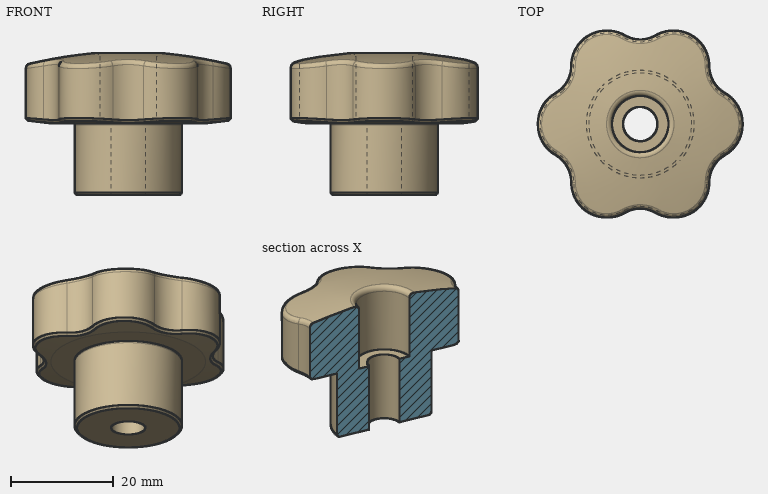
import cadquery as cq
import math

LOBE_COUNT = 6
LOBE_PITCH = 2 * math.pi / LOBE_COUNT
LOBE_CENTRE_RADIUS = 13.0
LOBE_RADIUS = 7.0
VALLEY_RADIUS = 6.0

HALF_PITCH = LOBE_PITCH / 2
CENTRE_SPACING = LOBE_RADIUS + VALLEY_RADIUS
LOBE_OFFSET = LOBE_CENTRE_RADIUS * math.sin(HALF_PITCH)
VALLEY_CENTRE_RADIUS = LOBE_CENTRE_RADIUS * math.cos(HALF_PITCH) + math.sqrt(
    CENTRE_SPACING**2 - LOBE_OFFSET**2
)

LOBE_SHARE = LOBE_RADIUS / CENTRE_SPACING
TANGENT_X = (
    LOBE_CENTRE_RADIUS * (1 - LOBE_SHARE) + VALLEY_CENTRE_RADIUS * math.cos(HALF_PITCH) * LOBE_SHARE
)
TANGENT_Y = VALLEY_CENTRE_RADIUS * math.sin(HALF_PITCH) * LOBE_SHARE
TANGENT_RADIUS = math.hypot(TANGENT_X, TANGENT_Y)
TANGENT_ANGLE = math.atan2(TANGENT_Y, TANGENT_X)

OVERALL_HEIGHT = 27.75
HEAD_BASE_Z = 14.0

CROWN_RADIUS = 80.0
UNDERSIDE_FLAT_RADIUS = 15.1
UNDERSIDE_SLOPE = math.radians(6.6)
HEAD_TOP_FILLET = 1.0
HEAD_BASE_CHAMFER = 0.5

HUB_DIAMETER = 21.0
HUB_CHAMFER = 0.5
COLLAR_HEIGHT = 0.35
COLLAR_FLARE = 0.03

THROUGH_HOLE_DIAMETER = 6.65
COUNTERBORE_DIAMETER = 11.0
COUNTERBORE_FLOOR_Z = HEAD_BASE_Z
RIM_FILLET = 1.0

RIM_CREST_RADIUS = COUNTERBORE_DIAMETER / 2 + RIM_FILLET
CROWN_CENTRE_Z = (
    OVERALL_HEIGHT - RIM_FILLET - math.sqrt((CROWN_RADIUS - RIM_FILLET) ** 2 - RIM_CREST_RADIUS**2)
)
CROWN_APEX_Z = CROWN_CENTRE_Z + CROWN_RADIUS

ENVELOPE_RADIUS = LOBE_CENTRE_RADIUS + LOBE_RADIUS + 2.0


def polar(radius, angle):
    return (radius * math.cos(angle), radius * math.sin(angle))


def lobed_outline():
    """Convex lobes joined by tangent concave valleys."""
    outline = cq.Workplane("XY").moveTo(*polar(TANGENT_RADIUS, -TANGENT_ANGLE))
    for lobe in range(LOBE_COUNT):
        lobe_angle = lobe * LOBE_PITCH
        lobe_tip = polar(LOBE_CENTRE_RADIUS + LOBE_RADIUS, lobe_angle)
        lobe_end = polar(TANGENT_RADIUS, lobe_angle + TANGENT_ANGLE)
        valley_floor = polar(VALLEY_CENTRE_RADIUS - VALLEY_RADIUS, lobe_angle + HALF_PITCH)
        valley_end = polar(TANGENT_RADIUS, lobe_angle + LOBE_PITCH - TANGENT_ANGLE)
        outline = outline.threePointArc(lobe_tip, lobe_end)
        outline = outline.threePointArc(valley_floor, valley_end)
    return outline.close()


def crown_ball():
    """Ball bounding the crown, with its poles along Y so that its seam stays clear of the head."""
    return cq.Workplane("XZ").sphere(CROWN_RADIUS).translate((0, 0, CROWN_CENTRE_Z))


def underside_envelope():
    """Round body with a flat underside that rises as a cone towards its edge."""
    underside_rise = (ENVELOPE_RADIUS - UNDERSIDE_FLAT_RADIUS) * math.tan(UNDERSIDE_SLOPE)
    return (
        cq.Workplane("YZ")
        .moveTo(0, HEAD_BASE_Z)
        .lineTo(UNDERSIDE_FLAT_RADIUS, HEAD_BASE_Z)
        .lineTo(ENVELOPE_RADIUS, HEAD_BASE_Z + underside_rise)
        .lineTo(ENVELOPE_RADIUS, CROWN_APEX_Z)
        .lineTo(0, CROWN_APEX_Z)
        .close()
        .revolve()
    )


def make_head():
    prism = lobed_outline().extrude(CROWN_APEX_Z)
    head = prism.intersect(underside_envelope()).intersect(crown_ball())
    head = head.faces("%SPHERE").edges().fillet(HEAD_TOP_FILLET)
    underside_cone = head.faces("%CONE")
    return underside_cone.edges("not %CIRCLE").chamfer(HEAD_BASE_CHAMFER)


def make_hub():
    radius = HUB_DIAMETER / 2
    collar_z = HEAD_BASE_Z - COLLAR_HEIGHT
    return (
        cq.Workplane("XZ")
        .lineTo(radius - HUB_CHAMFER, 0)
        .lineTo(radius, HUB_CHAMFER)
        .lineTo(radius, collar_z)
        .lineTo(radius + COLLAR_FLARE, HEAD_BASE_Z)
        .lineTo(0, HEAD_BASE_Z)
        .close()
        .revolve()
    )


def make_bore():
    """Through hole, counterbore and the rounded rim where it opens into the crown."""
    counterbore_radius = COUNTERBORE_DIAMETER / 2
    through_radius = THROUGH_HOLE_DIAMETER / 2
    rim_centre_z = OVERALL_HEIGHT - RIM_FILLET
    rim_tilt = math.asin(RIM_CREST_RADIUS / (CROWN_RADIUS - RIM_FILLET))
    rim_middle_tilt = (rim_tilt - math.pi / 2) / 2

    def rim_point(tilt):
        return (
            RIM_CREST_RADIUS + RIM_FILLET * math.sin(tilt),
            rim_centre_z + RIM_FILLET * math.cos(tilt),
        )

    rim_outer_radius = rim_point(rim_tilt)[0]
    return (
        cq.Workplane("XZ")
        .lineTo(through_radius, 0)
        .lineTo(through_radius, COUNTERBORE_FLOOR_Z)
        .lineTo(counterbore_radius, COUNTERBORE_FLOOR_Z)
        .lineTo(counterbore_radius, rim_centre_z)
        .threePointArc(rim_point(rim_middle_tilt), rim_point(rim_tilt))
        .lineTo(rim_outer_radius, CROWN_APEX_Z)
        .lineTo(0, CROWN_APEX_Z)
        .close()
        .revolve()
    )


result = make_head().union(make_hub()).cut(make_bore())